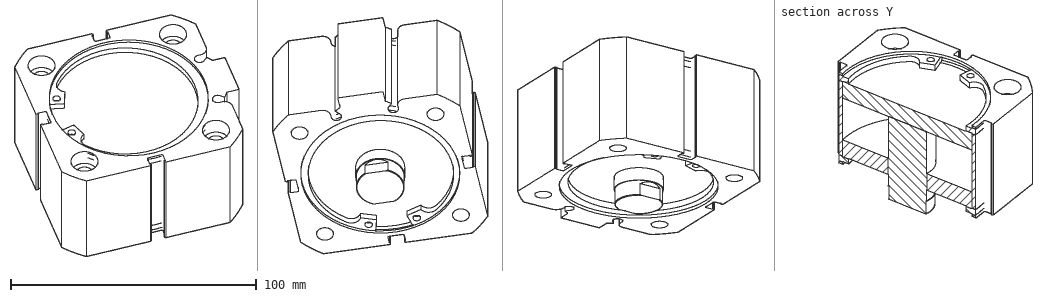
import cadquery as cq
import math


side = 77.5
half = side / 2
height = 45.0
corner_flat = 30.8
corner_mid = math.hypot(half, corner_flat) / math.sqrt(2)
bore_r = 32.4

rail_top = 44.2
rail_half = 9.4
rail_round = 0.3
rail_root_y = 38.9
hook_tip = (11.7, 37.3)

channel_r = 2.1
channel_x = 11.8
channel_y = 34.2
channel_mouth_r = 3.4
hook_angle = math.radians(45)

bolt_offset = 28.1
bolt_d = 6.8
counterbore_d = 10.95
counterbore_depth = 7.0

slot_width = 6.6
slot_round = 0.6
slot_depth = 4.5
lip_thickness = 1.0
side_slot_mouth = 5.65
front_slot_mouth = 6.0
mouth_chamfer = 0.4

ring_inset = 1.3
ring_thickness = 2.65
ring_groove_web = 0.21
ring_r = half - slot_depth - ring_groove_web
ring_inner_r = 29.6
ring_eccentricity = 1.5
gap_angle = math.radians(13.7)
lug_angle = math.radians(19.8)
lug_hole_radius = 29.4
lug_hole_d = 3.0
lug_flat_radius = 26.15
relief_r = 4.0
relief_angle = math.radians(38.7)

cover_thickness = 8.3
cover_inset = ring_inset + ring_thickness
head_cover_z = height - cover_inset - cover_thickness

rod_d = 20.0
rod_end_d = 19.5
rod_reach = 8.05
rod_shoulder = 1.5
flat_width = 17.0
flat_start = 3.0
rod_chamfer = 0.25

ring_levels = (ring_inset, height - cover_inset)


def disc(radius, z, thickness):
    return cq.Workplane("XY").workplane(offset=z).circle(radius).extrude(thickness)


def make_profile():
    """Housing block with its rail and hooked channels: the +X half is drawn and mirrored."""
    channel_side = channel_x + channel_r
    mouth_x = channel_side + channel_mouth_r
    mouth_y = half - channel_mouth_r
    bend = channel_mouth_r * math.sqrt(0.5)
    hook_root = (
        channel_x - channel_r * math.cos(hook_angle),
        channel_y + channel_r * math.sin(hook_angle),
    )
    right_half = (
        cq.Workplane("XY")
        .moveTo(0, -half)
        .lineTo(corner_flat, -half)
        .threePointArc((corner_mid, -corner_mid), (half, -corner_flat))
        .lineTo(half, corner_flat)
        .threePointArc((corner_mid, corner_mid), (corner_flat, half))
        .lineTo(mouth_x, half)
        .threePointArc((mouth_x - bend, mouth_y + bend), (channel_side, mouth_y))
        .lineTo(channel_side, channel_y)
        .threePointArc((channel_x, channel_y - channel_r), hook_root)
        .lineTo(*hook_tip)
        .lineTo(rail_half, rail_root_y)
        .lineTo(rail_half, rail_top)
        .lineTo(0, rail_top)
        .close()
        .extrude(height)
    )
    rail_corner = cq.selectors.NearestToPointSelector((rail_half, rail_top, height / 2))
    right_half = right_half.edges(rail_corner).fillet(rail_round)
    return right_half.union(right_half.mirror("YZ"))


def make_slot(mouth):
    """T-shaped sensor groove in the -Y side."""
    room = (
        cq.Workplane("XY")
        .center(0, -half + (lip_thickness + slot_depth) / 2)
        .rect(slot_width, slot_depth - lip_thickness)
        .extrude(height)
        .edges("|Z and >Y")
        .fillet(slot_round)
    )
    opening = (
        cq.Workplane("XY")
        .center(0, -half + lip_thickness / 2)
        .rect(mouth, lip_thickness)
        .extrude(height)
    )
    return room.union(opening)


def make_side_slot():
    """Sensor groove of the X sides, with chamfered lips, still lying in the -Y side."""
    chamfer = (
        cq.Workplane("XY")
        .moveTo(-side_slot_mouth / 2 - mouth_chamfer, -half)
        .lineTo(side_slot_mouth / 2 + mouth_chamfer, -half)
        .lineTo(side_slot_mouth / 2, -half + mouth_chamfer)
        .lineTo(-side_slot_mouth / 2, -half + mouth_chamfer)
        .close()
        .extrude(height)
    )
    return make_slot(side_slot_mouth).union(chamfer)


def make_housing():
    body = make_profile()
    body = body.cut(disc(bore_r, 0, height))
    for z in ring_levels:
        body = body.cut(disc(ring_r, z, ring_thickness))
    body = (
        body.faces(">Z").workplane(origin=(0, 0, height))
        .rect(2 * bolt_offset, 2 * bolt_offset, forConstruction=True)
        .vertices()
        .cboreHole(bolt_d, counterbore_d, counterbore_depth)
    )
    body = body.cut(make_slot(front_slot_mouth))
    for angle in (-90, 90):
        body = body.cut(make_side_slot().rotate((0, 0, 0), (0, 0, 1), angle))
    return body


def polar(radius, angle, center_y=0.0):
    """Point at a radius and an angle from the -Y direction, turned toward +X."""
    return (radius * math.sin(angle), center_y - radius * math.cos(angle))


def across_gap(point):
    """The matching point on the -X side."""
    return (-point[0], point[1])


def make_snap_ring(z):
    """Eccentric ring, thickest opposite the gap, with a drilled lug at each end."""
    relief = polar(ring_inner_r - relief_r, relief_angle, -ring_eccentricity)
    relief_end = polar(ring_inner_r, relief_angle, -ring_eccentricity)
    lug_corner = polar(lug_flat_radius / math.cos(lug_angle - gap_angle), gap_angle)

    along = lug_flat_radius - (relief[0] * math.sin(lug_angle) - relief[1] * math.cos(lug_angle))
    across = math.sqrt(relief_r**2 - along**2)
    lug_shoulder = (
        relief[0] + along * math.sin(lug_angle) - across * math.cos(lug_angle),
        relief[1] - along * math.cos(lug_angle) - across * math.sin(lug_angle),
    )
    relief_mid = (relief[0] + relief_r * math.sin(lug_angle), relief[1] - relief_r * math.cos(lug_angle))

    end_corner = polar(ring_r, gap_angle)
    ring = (
        cq.Workplane("XY")
        .workplane(offset=z)
        .moveTo(*end_corner)
        .lineTo(*lug_corner)
        .lineTo(*lug_shoulder)
        .threePointArc(relief_mid, relief_end)
        .threePointArc((0, ring_inner_r - ring_eccentricity), across_gap(relief_end))
        .threePointArc(across_gap(relief_mid), across_gap(lug_shoulder))
        .lineTo(*across_gap(lug_corner))
        .lineTo(*across_gap(end_corner))
        .threePointArc((0, ring_r), end_corner)
        .close()
        .extrude(ring_thickness)
    )
    lug_hole = polar(lug_hole_radius, lug_angle)
    lug_holes = (
        cq.Workplane("XY")
        .workplane(offset=z)
        .pushPoints([lug_hole, across_gap(lug_hole)])
        .circle(lug_hole_d / 2)
        .extrude(ring_thickness)
    )
    return ring.cut(lug_holes)


def make_head_cover():
    """Plain disc that closes the upper end of the bore, under the upper ring."""
    return disc(bore_r, head_cover_z, cover_thickness)


def make_rod_cover():
    """Disc above the lower ring, bored for the rod."""
    return disc(bore_r, cover_inset, cover_thickness).cut(disc(rod_d / 2, cover_inset, cover_thickness))


def make_rod():
    """Rod standing from the head cover down out of the housing, with two wrench flats at its tip."""
    shaft = disc(rod_d / 2, -rod_shoulder, head_cover_z + rod_shoulder)
    tip = disc(rod_end_d / 2, -rod_reach, rod_reach - rod_shoulder).faces("<Z").chamfer(rod_chamfer)
    rod = shaft.union(tip)
    slope = (rod_d - flat_width) / 2
    flat_cut = (
        cq.Workplane("YZ")
        .moveTo(-flat_width / 2, -rod_reach)
        .lineTo(-flat_width / 2, -flat_start)
        .lineTo(-flat_width / 2 - slope, -flat_start + slope)
        .lineTo(-flat_width / 2 - slope, -rod_reach)
        .close()
        .extrude(rod_d / 2, both=True)
    )
    return rod.cut(flat_cut).cut(flat_cut.mirror("XZ"))


housing = make_housing()
snap_rings = [make_snap_ring(z) for z in ring_levels]
head_cover = make_head_cover()
rod_cover = make_rod_cover()
rod = make_rod()

result = cq.Compound.makeCompound(
    [
        housing.val(),
        *[ring.val() for ring in snap_rings],
        head_cover.val(),
        rod_cover.val(),
        rod.val(),
    ]
)